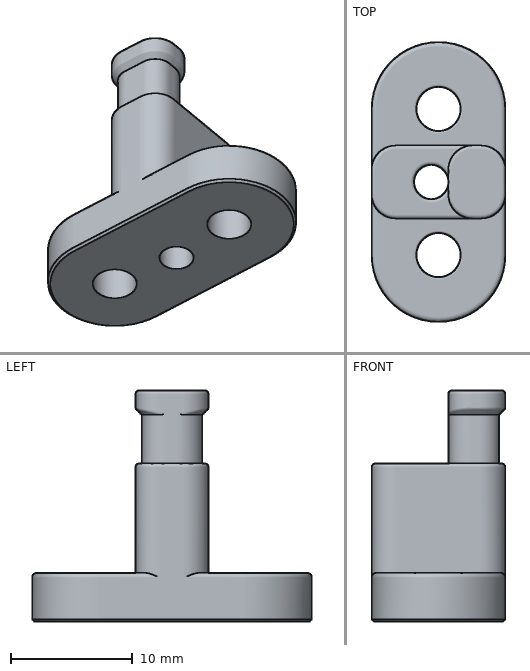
import cadquery as cq

length = 23.0
width = 11.0
height = 19.0

base_thickness = 4.0
base_top_round = 0.4
base_bottom_chamfer = 0.2
mount_hole_diameter = 3.6
mount_hole_round = 0.2
mount_hole_offset = (length - width) / 2

block_top = 13.0
block_depth = 6.0
corner_radius = 2.0
top_round = 0.3

post_hole_diameter = 2.8
post_hole_round = 0.3
post_hole_x = -0.6

head_width = 4.7
head_thickness = 2.0
overhang = 0.5
head_edge_round = 0.2
flare_angle = 45

head_right = width / 2
head_left = head_right - head_width
head_bottom = height - head_thickness
post_right = head_right - overhang
post_depth = block_depth - 2 * overhang
post_right_radius = corner_radius - overhang
post_bottom = block_top - post_hole_round


def rounded_outline(left, right, depth, left_radius, right_radius, z):
    """Closed rounded rectangle at height z, symmetric about the X axis."""
    half = depth / 2
    diagonal = 0.5 ** 0.5
    left_arc = left_radius * (1 - diagonal)
    right_arc = right_radius * (1 - diagonal)
    return (
        cq.Workplane("XY", origin=(0, 0, z))
        .moveTo(left + left_radius, -half)
        .lineTo(right - right_radius, -half)
        .threePointArc((right - right_arc, -half + right_arc), (right, -half + right_radius))
        .lineTo(right, half - right_radius)
        .threePointArc((right - right_arc, half - right_arc), (right - right_radius, half))
        .lineTo(left + left_radius, half)
        .threePointArc((left + left_arc, half - left_arc), (left, half - left_radius))
        .lineTo(left, -half + left_radius)
        .threePointArc((left + left_arc, -half + left_arc), (left + left_radius, -half))
        .close()
    )


def post_outline(z):
    """Post section at height z, inset from the head by the overhang except at -X."""
    return rounded_outline(head_left, post_right, post_depth, corner_radius, post_right_radius, z)


def make_base():
    """Rounded-end plate along Y with a hole at the centre of each end."""
    return (
        cq.Workplane("XY")
        .slot2D(length, width, 90)
        .extrude(base_thickness)
        .faces(">Z").edges().fillet(base_top_round)
        .faces("<Z").edges().chamfer(base_bottom_chamfer)
        .faces(">Z").workplane(origin=(0, 0, 0))
        .pushPoints([(0, -mount_hole_offset), (0, mount_hole_offset)])
        .hole(mount_hole_diameter)
        .faces(">Z").edges("%CIRCLE").edges(cq.selectors.RadiusNthSelector(0))
        .fillet(mount_hole_round)
    )


def make_block():
    """Block standing inside the base, its ends flush with the base sides."""
    half = width / 2
    return (
        rounded_outline(-half, half, block_depth, corner_radius, corner_radius, base_bottom_chamfer)
        .extrude(block_top - base_bottom_chamfer)
        .faces(">Z").edges().fillet(top_round)
    )


def make_hook():
    """Post and head; the head's underside flares out from the post."""
    post = post_outline(post_bottom).extrude(head_bottom - post_bottom)
    head = rounded_outline(
        head_left, head_right, block_depth, corner_radius, corner_radius, head_bottom
    ).extrude(head_thickness)
    flare = post_outline(head_bottom).extrude(head_thickness, taper=-flare_angle)
    rim_point = (head_right, 0, head_bottom + overhang)
    return (
        post.union(head.intersect(flare))
        .edges(cq.selectors.NearestToPointSelector(rim_point))
        .fillet(head_edge_round)
        .faces(">Z").edges().fillet(top_round)
    )


def drill_post_hole(body):
    """Vertical hole through block and base, rounded at its upper rim."""
    return (
        body
        .faces(">Z").workplane(origin=(post_hole_x, 0, 0))
        .hole(post_hole_diameter)
        .faces(">Z").edges(cq.selectors.RadiusNthSelector(0))
        .fillet(post_hole_round)
    )


body = drill_post_hole(make_base().union(make_block()))
result = body.union(make_hook())